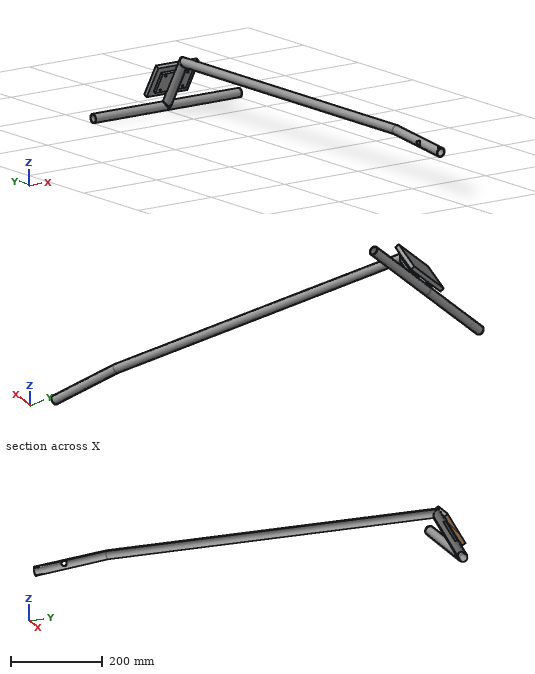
import cadquery as cq
import math

TUBE_DIAMETER = 21.0
BORE_DIAMETER = 17.0
TUBE_RADIUS = TUBE_DIAMETER / 2
CROSSBAR_LENGTH = 400.0

RISE_ANGLE = 60.0
LEVEL_HEIGHT = 110.0
DIP_Y = -839.0
DIP_ANGLE = 6.0
TOTAL_LENGTH = 1019.0
TIP_X = -3.0

rise_y = -LEVEL_HEIGHT / math.tan(math.radians(RISE_ANGLE))
tip_y = TUBE_RADIUS - TOTAL_LENGTH + TUBE_RADIUS * math.sin(math.radians(DIP_ANGLE))
tip_z = LEVEL_HEIGHT + (tip_y - DIP_Y) * math.tan(math.radians(DIP_ANGLE))

SIDE_HOLE_DIAMETER = 12.0
SIDE_HOLE_SETBACK = 71.0
TOP_HOLE_DIAMETER = 6.5
TOP_HOLE_SETBACK = 7.0

PLATE_WIDTH = 111.0
PLATE_LENGTH = 85.0
PLATE_THICKNESS = 10.0
PLATE_OFFSET = 11.0
BRACKET_WIDTH = 84.0
BRACKET_LENGTH = 55.0
BRACKET_THICKNESS = 6.0
MOUNT_DISTANCE = 67.0
SCREW_HOLE_DIAMETER = 4.0
SCREW_SPACING_X = 61.0
SCREW_SPACING_ALONG = 41.0

base_point = cq.Vector(0, 0, 0)
rise_point = cq.Vector(0, rise_y, LEVEL_HEIGHT)
dip_point = cq.Vector(0, DIP_Y, LEVEL_HEIGHT)
tip_point = cq.Vector(TIP_X, tip_y, tip_z)
rise_direction = (rise_point - base_point).normalized()
tip_direction = (tip_point - dip_point).normalized()


def swept_rod(diameter):
    """Solid rod along the arm, mitred at both bends."""
    path = cq.Workplane("XY").polyline([base_point, rise_point, dip_point, tip_point])
    start = cq.Plane(origin=base_point, xDir=(1, 0, 0), normal=rise_direction)
    return cq.Workplane(start).circle(diameter / 2).sweep(path, transition="right")


def crossbar_rod(diameter):
    return cq.Workplane("YZ").circle(diameter / 2).extrude(CROSSBAR_LENGTH / 2, both=True)


def make_crossbar():
    return crossbar_rod(TUBE_DIAMETER).cut(crossbar_rod(BORE_DIAMETER))


def tip_hole(diameter, setback, direction):
    """Drill that goes from the tip axis out through one wall of the arm."""
    centre = tip_point - tip_direction * setback
    plane = cq.Plane(origin=centre, xDir=tip_direction, normal=direction)
    return cq.Workplane(plane).circle(diameter / 2).extrude(TUBE_DIAMETER)


def make_arm():
    tube = swept_rod(TUBE_DIAMETER).cut(swept_rod(BORE_DIAMETER))
    saddled_tube = tube.cut(crossbar_rod(TUBE_DIAMETER))
    up = tip_direction.cross(cq.Vector(1, 0, 0))
    side = tip_direction.cross(up)
    side_hole = tip_hole(SIDE_HOLE_DIAMETER, SIDE_HOLE_SETBACK, side)
    top_hole = tip_hole(TOP_HOLE_DIAMETER, TOP_HOLE_SETBACK, up)
    return saddled_tube.cut(side_hole).cut(top_hole)


def mount_plane(offset):
    """Plane parallel to the rising section, at an offset above its axis."""
    outward = cq.Vector(1, 0, 0).cross(rise_direction) * -1
    centre = rise_direction * MOUNT_DISTANCE + outward * offset
    return cq.Plane(origin=centre, xDir=(1, 0, 0), normal=outward)


def make_plate():
    return cq.Workplane(mount_plane(PLATE_OFFSET)).rect(PLATE_WIDTH, PLATE_LENGTH).extrude(PLATE_THICKNESS)


def make_bracket():
    """Small pad under the plate, grooved to sit over the arm."""
    pad = (
        cq.Workplane(mount_plane(PLATE_OFFSET))
        .rect(BRACKET_WIDTH, BRACKET_LENGTH)
        .extrude(-BRACKET_THICKNESS)
    )
    screw_holes = (
        cq.Workplane(mount_plane(PLATE_OFFSET))
        .rect(SCREW_SPACING_X, SCREW_SPACING_ALONG, forConstruction=True)
        .vertices()
        .circle(SCREW_HOLE_DIAMETER / 2)
        .extrude(-BRACKET_THICKNESS)
    )
    return pad.cut(screw_holes).cut(swept_rod(TUBE_DIAMETER))


crossbar = make_crossbar()
arm = make_arm()
bracket = make_bracket()
plate = make_plate()

result = cq.Compound.makeCompound([crossbar.val(), arm.val(), bracket.val(), plate.val()])